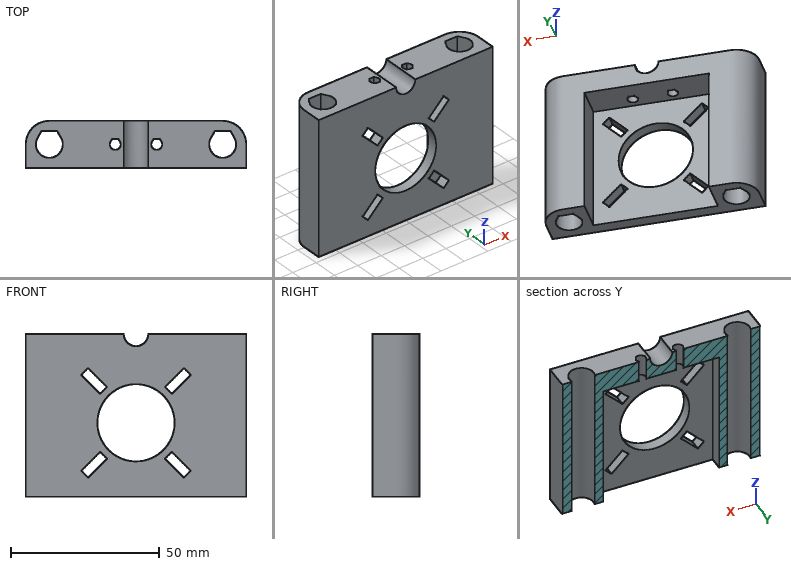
import cadquery as cq
import math

body_width = 74.5
body_depth = 16.0
body_height = 55.0
corner_radius = body_depth / 2

motor_axis_z = 25.0
front_wall = 4.3
pocket_width = 43.5
pocket_top_z = motor_axis_z + pocket_width / 2
boss_hole_diameter = 26.0

slot_center_radius = 20.0
slot_length = 9.0
slot_width = 3.2
slot_angles = (45, 135, 225, 315)

hole_y = body_depth / 2
rod_hole_radius = 4.5
rod_hole_x = body_width / 2 - corner_radius
screw_hole_radius = 1.8
screw_hole_x = 7.0
teardrop_slope = 60

groove_radius = 4.1


def make_body():
    """Rectangular block with both rear vertical edges rounded."""
    block = cq.Workplane("XY").box(body_width, body_depth, body_height, centered=(True, False, False))
    return block.edges("|Z and >Y").fillet(corner_radius)


def motor_plane():
    """Workplane on the front face, centred on the motor axis, with its normal along +Y."""
    return cq.Workplane(cq.Plane(origin=(0, 0, motor_axis_z), xDir=(1, 0, 0), normal=(0, 1, 0)))


def make_motor_seat():
    """Motor pocket together with the round boss hole in the front wall."""
    pocket_depth = body_depth - front_wall
    pocket = (
        cq.Workplane("XY", origin=(0, front_wall, 0))
        .box(pocket_width, pocket_depth, pocket_top_z, centered=(True, False, False))
    )
    boss_hole = motor_plane().circle(boss_hole_diameter / 2).extrude(body_depth)
    return pocket.union(boss_hole)


def make_slot(angle):
    """Screw slot through the front wall, pointing away from the motor axis."""
    slot = motor_plane().center(slot_center_radius, 0).rect(slot_length, slot_width).extrude(front_wall)
    axis_start = (0, 0, motor_axis_z)
    axis_end = (0, 1, motor_axis_z)
    return slot.rotate(axis_start, axis_end, angle)


def make_teardrop_hole(x, radius):
    """Vertical hole, round at the front, with tangent sides rising to a flat at the back."""
    slope = math.radians(teardrop_slope)
    tangent_x = radius * math.sin(slope)
    tangent_y = radius * math.cos(slope)
    flat_half_width = tangent_x - (radius - tangent_y) / math.tan(slope)
    return (
        cq.Workplane("XY", origin=(x, hole_y, 0))
        .moveTo(-flat_half_width, radius)
        .lineTo(-tangent_x, tangent_y)
        .threePointArc((0, -radius), (tangent_x, tangent_y))
        .lineTo(flat_half_width, radius)
        .close()
        .extrude(body_height)
    )


def make_groove():
    """Round bar lying along Y on the top face."""
    return cq.Workplane("XZ", origin=(0, 0, body_height)).circle(groove_radius).extrude(-body_depth)


result = make_body().cut(make_motor_seat()).cut(make_groove())

for slot_angle in slot_angles:
    result = result.cut(make_slot(slot_angle))

for side in (-1, 1):
    result = result.cut(make_teardrop_hole(side * rod_hole_x, rod_hole_radius))
    result = result.cut(make_teardrop_hole(side * screw_hole_x, screw_hole_radius))